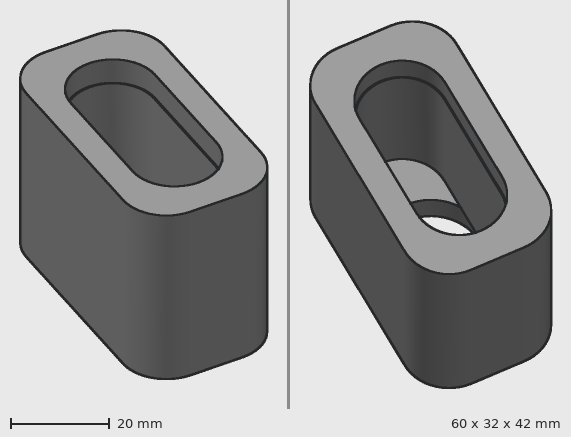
import cadquery as cq

body_length = 60.0
body_width = 32.0
body_height = 42.0
corner_radius = 10.0

pocket_length = 44.5
pocket_width = 19.0
mouth_clearance = 0.2
mouth_depth = 6.0
floor_thickness = 6.0

floor_hole_diameter = 22.0


def slot(length, width, bottom_z):
    """Round-ended slot along X, from bottom_z up to the top face."""
    return (
        cq.Workplane("XY", origin=(0, 0, bottom_z))
        .slot2D(length, width)
        .extrude(body_height - bottom_z)
    )


body = (
    cq.Workplane("XY")
    .rect(body_length, body_width)
    .extrude(body_height)
    .edges("|Z")
    .fillet(corner_radius)
)

pocket = slot(pocket_length, pocket_width, floor_thickness)

mouth = slot(
    pocket_length + 2 * mouth_clearance,
    pocket_width + 2 * mouth_clearance,
    body_height - mouth_depth,
)

floor_hole = cq.Workplane("XY").circle(floor_hole_diameter / 2).extrude(floor_thickness)

result = body.cut(pocket).cut(mouth).cut(floor_hole)